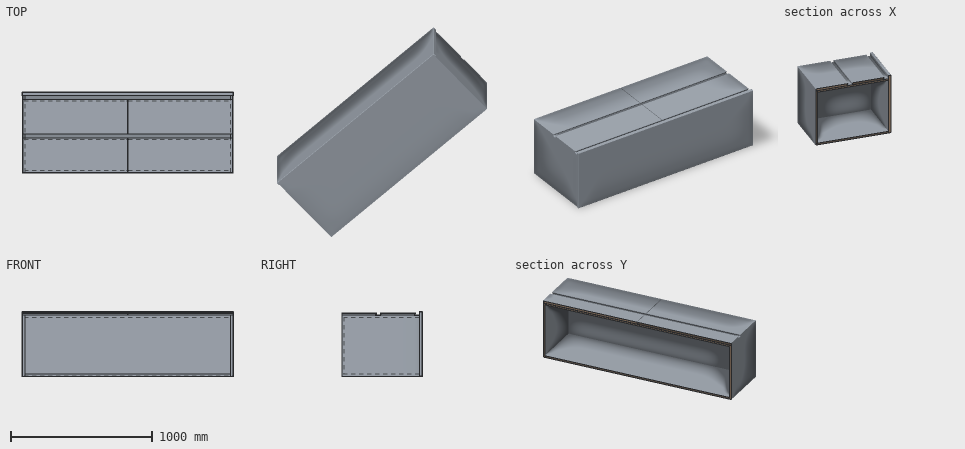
import cadquery as cq


worktop_width = 1500.0
total_height = 572.0
total_depth = 460.0

worktop_thickness = 22.0
worktop_overhang = 6.0
worktop_chamfer = 3.0

board = 16.0
cabinet_width = worktop_width - 2 * worktop_overhang
cabinet_height = total_height - worktop_thickness
inner_width = cabinet_width - 2 * board

rows = 2
columns = 2
front_thickness = 15.0
front_setback = 10.0
row_gap = 28.0
column_gap = 5.0
grip_lip = 5.0
grip_depth = front_thickness - grip_lip
row_pitch = cabinet_height / rows
front_height = row_pitch - row_gap
front_width = (cabinet_width - column_gap) / columns
column_pitch = front_width + column_gap
cabinet_depth = total_depth - front_setback - front_thickness


def board_from_corner(size_x, size_y, size_z, corner):
    """Rectangular board given by its sizes and its lowest X, Y, Z corner."""
    return cq.Workplane("XY").box(size_x, size_y, size_z, centered=False).translate(corner)


def make_worktop():
    """Top slab, with a small chamfer around its outer face and along its corners."""
    slab = board_from_corner(
        worktop_width, worktop_thickness, total_depth, (-worktop_width / 2, cabinet_height, 0)
    )
    return slab.edges("|Y or >Y").chamfer(worktop_chamfer)


def make_side_panel(low_x):
    """Full-height end board of the cabinet."""
    return board_from_corner(board, cabinet_height, cabinet_depth, (low_x, 0, 0))


def make_back_panel():
    """Board between the sides, closing the back."""
    return board_from_corner(inner_width, cabinet_height, board, (-inner_width / 2, 0, 0))


def make_bottom_panel():
    """Board between the sides, standing on the back panel."""
    return board_from_corner(inner_width, board, cabinet_depth - board, (-inner_width / 2, 0, board))


def make_inner_panel():
    """Board behind the drawer fronts, flush with the front edges of the sides."""
    return board_from_corner(
        inner_width, cabinet_height - board, board, (-inner_width / 2, board, cabinet_depth - board)
    )


def make_drawer_front(low_x, low_y):
    """Drawer front whose upper edge is beveled underneath as a finger grip."""
    profile = [
        (0, 0),
        (front_height - grip_depth, 0),
        (front_height, grip_depth),
        (front_height, front_thickness),
        (0, front_thickness),
    ]
    front = cq.Workplane("YZ").polyline(profile).close().extrude(front_width)
    return front.translate((low_x, low_y, cabinet_depth))


worktop = make_worktop()
back_panel = make_back_panel()
bottom_panel = make_bottom_panel()
inner_panel = make_inner_panel()

side_panels = []
for side_low_x in (-cabinet_width / 2, cabinet_width / 2 - board):
    side_panels.append(make_side_panel(side_low_x).val())

drawer_fronts = []
for row in range(rows):
    for column in range(columns):
        front_low_x = -cabinet_width / 2 + column * column_pitch
        drawer_fronts.append(make_drawer_front(front_low_x, row * row_pitch).val())

result = cq.Compound.makeCompound([
    worktop.val(),
    back_panel.val(),
    bottom_panel.val(),
    inner_panel.val(),
    *side_panels,
    *drawer_fronts,
])